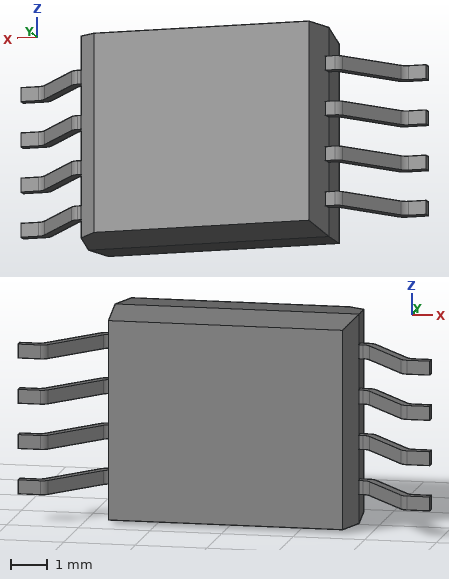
import cadquery as cq
import math

span = 11.5
body_width = 6.82
body_height = 5.85
half_depth = 1.59
draft_angle = 5.0
key_chamfer = 0.45
standoff = 0.21

lead_count = 4
lead_pitch = 1.26
lead_row_shift = -0.02
lead_width = 0.39
lead_thickness = 0.25
foot_length = 0.75
slope_run = 1.36
bend_radius = 0.24

seat_y = -half_depth - standoff
slope_angle = math.atan2(-seat_y, slope_run)
bend_shift = lead_thickness * math.tan(slope_angle / 2)


def make_lower_half():
    """Housing half on the -Y side of the parting plane, tapering toward the seat."""
    return cq.Workplane("XZ").rect(body_width, body_height).extrude(half_depth, taper=draft_angle)


def make_upper_half(leads):
    """Housing half on the +Y side, with the key chamfer and a slot for each lead."""
    half = cq.Workplane("ZX").rect(body_height, body_width).extrude(half_depth, taper=draft_angle)
    half = half.faces(">Y").edges(">X").chamfer(key_chamfer)
    for lead in leads:
        half = half.cut(lead)
    return half


def make_lead(z_center):
    """Gull-wing lead that runs straight through the housing on the parting plane."""
    tip = span / 2
    foot_bend = tip - foot_length
    shoulder_bend = foot_bend - slope_run
    right_side = [
        (shoulder_bend, 0),
        (foot_bend, seat_y),
        (tip, seat_y),
        (tip, seat_y + lead_thickness),
        (foot_bend + bend_shift, seat_y + lead_thickness),
        (shoulder_bend + bend_shift, lead_thickness),
    ]
    left_side = [(-x, y) for x, y in reversed(right_side)]
    blank = (
        cq.Workplane("XY", origin=(0, 0, z_center - lead_width / 2))
        .polyline(right_side + left_side)
        .close()
        .extrude(lead_width)
    )
    bend_edges = blank.edges("|Z").edges(cq.selectors.BoxSelector(
        (-tip + lead_thickness, -span, -span),
        (tip - lead_thickness, span, span),
    ))
    return bend_edges.fillet(bend_radius)


first_lead_z = lead_row_shift - lead_pitch * (lead_count - 1) / 2
leads = [make_lead(first_lead_z + i * lead_pitch) for i in range(lead_count)]
lower_half = make_lower_half()
upper_half = make_upper_half(leads)

result = cq.Compound.makeCompound(
    [lower_half.val(), upper_half.val()] + [lead.val() for lead in leads]
)